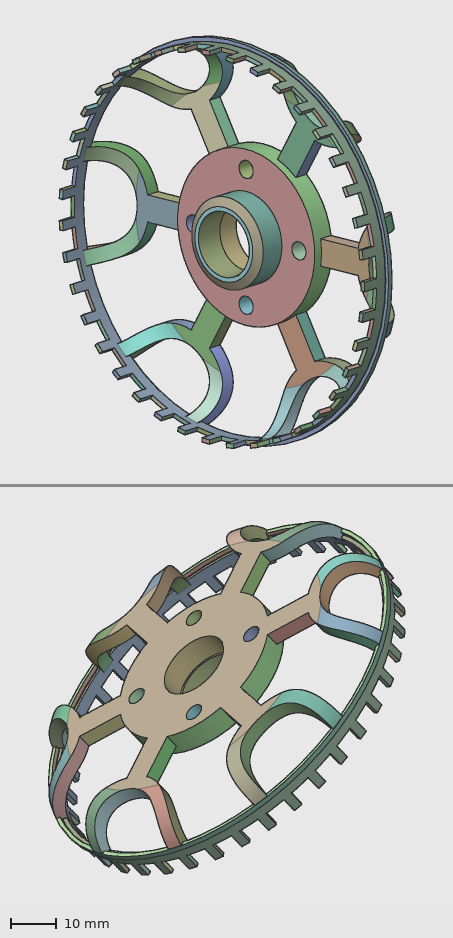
import cadquery as cq
import math


FLANGE_DIAMETER = 91.75
DRUM_OUTER_DIAMETER = 89.8
DRUM_INNER_DIAMETER = 87.8
FLANGE_BACK_DEPTH = 9.0
FLANGE_THICKNESS = 1.2
DRUM_FRONT_DEPTH = 13.0
BACK_RECESS_DIAMETER = DRUM_OUTER_DIAMETER
BACK_RECESS_DEPTH = 1.0
OVERALL_DEPTH = 17.0
TOOTH_COUNT = 39
TOOTH_WIDTH = 2.2

HUB_DIAMETER = 40.3
HUB_THICKNESS = 5.7
BOSS_DIAMETER = 21.0
BOSS_CHAMFER_WIDTH = 2.0
BOSS_CHAMFER_DEPTH = 1.2
BORE_DIAMETER = 15.0
BEARING_DIAMETER = 16.0
BEARING_DEPTH = 6.0
BOLT_HOLE_DIAMETER = 4.1
BOLT_CIRCLE_DIAMETER = 31.0
BOLT_COUNT = 4

ARM_COUNT = 6
ARM_THICKNESS = 3.5
SPOKE_WIDTH = 6.2
HORSESHOE_CENTRE_RADIUS = 44.3
HORSESHOE_INNER_RADIUS = 10.3
HORSESHOE_OUTER_RADIUS = HORSESHOE_INNER_RADIUS + ARM_THICKNESS
BEND_START_RADIUS = 34.4
BEND_OUTER_RADIUS = 11.65
BEND_INNER_RADIUS = 9.6


def disc(diameter, back_depth, front_depth):
    """Solid cylinder on the wheel axis between two depths below the back face."""
    plane = cq.Workplane("XZ", origin=(0, -back_depth, 0))
    return plane.circle(diameter / 2).extrude(front_depth - back_depth)


def revolve_about_axis(half_section):
    return half_section.revolve(360, (0, 0, 0), (0, 1, 0))


def around_axis(shape, angle):
    """Copy of a shape turned about the wheel axis, from +X towards +Z."""
    return shape.rotate((0, 0, 0), (0, 1, 0), -angle)


def make_tooth_ring():
    """Bars crossing the drum wall radially, one of them along +X."""
    bar = cq.Workplane("XY").box(
        DRUM_OUTER_DIAMETER,
        OVERALL_DEPTH - DRUM_FRONT_DEPTH,
        TOOTH_WIDTH,
        centered=(False, False, True),
    )
    bar = bar.translate((0, -OVERALL_DEPTH, 0))
    bars = [around_axis(bar, i * 360 / TOOTH_COUNT).val() for i in range(TOOTH_COUNT)]
    return cq.Workplane(obj=bars[0].fuse(*bars[1:]))


def make_rim():
    """Flanged drum ring with teeth left standing between the gaps in its front edge."""
    flange = disc(FLANGE_DIAMETER, FLANGE_BACK_DEPTH, FLANGE_BACK_DEPTH + FLANGE_THICKNESS)
    drum = disc(DRUM_OUTER_DIAMETER, FLANGE_BACK_DEPTH, OVERALL_DEPTH)
    opening = disc(DRUM_INNER_DIAMETER, FLANGE_BACK_DEPTH, OVERALL_DEPTH)
    tooth_gaps = disc(FLANGE_DIAMETER, DRUM_FRONT_DEPTH, OVERALL_DEPTH).cut(make_tooth_ring())
    back_recess = disc(BACK_RECESS_DIAMETER, FLANGE_BACK_DEPTH, FLANGE_BACK_DEPTH + BACK_RECESS_DEPTH)
    return flange.union(drum).cut(opening).cut(back_recess).cut(tooth_gaps)


def make_hub():
    """Solid hub disc and boss, before boring."""
    boss_radius = BOSS_DIAMETER / 2
    half_section = (
        cq.Workplane("XY")
        .lineTo(HUB_DIAMETER / 2, 0)
        .lineTo(HUB_DIAMETER / 2, -HUB_THICKNESS)
        .lineTo(boss_radius, -HUB_THICKNESS)
        .lineTo(boss_radius, -(DRUM_FRONT_DEPTH - BOSS_CHAMFER_DEPTH))
        .lineTo(boss_radius - BOSS_CHAMFER_WIDTH, -DRUM_FRONT_DEPTH)
        .lineTo(0, -DRUM_FRONT_DEPTH)
        .close()
    )
    return revolve_about_axis(half_section)


def make_arm_shell():
    """Bowl of revolution: a flat web whose edge bends down onto the flange and the drum wall."""
    wall_inner_radius = DRUM_INNER_DIAMETER / 2
    wall_middle_radius = (DRUM_INNER_DIAMETER + DRUM_OUTER_DIAMETER) / 4
    flange_front_depth = FLANGE_BACK_DEPTH + FLANGE_THICKNESS

    def bend_point(start_depth, radius, angle):
        across = BEND_START_RADIUS + radius * math.cos(angle)
        depth = start_depth + radius * (1 - math.sin(angle))
        return (across, -depth)

    outer_angle = math.asin(1 - FLANGE_BACK_DEPTH / BEND_OUTER_RADIUS)
    inner_angle = math.acos((wall_inner_radius - BEND_START_RADIUS) / BEND_INNER_RADIUS)
    outer_middle = bend_point(0, BEND_OUTER_RADIUS, (outer_angle + math.pi / 2) / 2)
    outer_end = bend_point(0, BEND_OUTER_RADIUS, outer_angle)
    inner_middle = bend_point(ARM_THICKNESS, BEND_INNER_RADIUS, (inner_angle + math.pi / 2) / 2)
    inner_end = bend_point(ARM_THICKNESS, BEND_INNER_RADIUS, inner_angle)

    half_section = (
        cq.Workplane("XY")
        .lineTo(BEND_START_RADIUS, 0)
        .threePointArc(outer_middle, outer_end)
        .lineTo(wall_middle_radius, -flange_front_depth)
        .lineTo(wall_middle_radius, inner_end[1])
        .lineTo(*inner_end)
        .threePointArc(inner_middle, (BEND_START_RADIUS, -ARM_THICKNESS))
        .lineTo(0, -ARM_THICKNESS)
        .close()
    )
    return revolve_about_axis(half_section)


def make_arm_outline():
    """Plan shape of one arm along +X, extruded through the depth of the shell."""
    fork = (
        cq.Workplane("XZ", origin=(HORSESHOE_CENTRE_RADIUS, 0, 0))
        .circle(HORSESHOE_OUTER_RADIUS)
        .circle(HORSESHOE_INNER_RADIUS)
        .extrude(DRUM_FRONT_DEPTH)
    )
    spoke_end = HORSESHOE_CENTRE_RADIUS - HORSESHOE_INNER_RADIUS - ARM_THICKNESS / 2
    spoke = cq.Workplane("XY").box(
        spoke_end, ARM_THICKNESS, SPOKE_WIDTH, centered=(False, False, True)
    )
    return fork.union(spoke.translate((0, -ARM_THICKNESS, 0)))


def make_arms():
    """All forked arms, cut from the shell by the plan outline."""
    arm = make_arm_shell().intersect(make_arm_outline())
    copies = [around_axis(arm, i * 360 / ARM_COUNT).val() for i in range(ARM_COUNT)]
    return cq.Workplane(obj=copies[0].fuse(*copies[1:]))


def cut_bores(body):
    """Stepped centre bore, wider at the back, and the ring of bolt holes."""
    body = body.cut(disc(BORE_DIAMETER, 0, DRUM_FRONT_DEPTH))
    body = body.cut(disc(BEARING_DIAMETER, 0, BEARING_DEPTH))
    bolt_hole = disc(BOLT_HOLE_DIAMETER, 0, HUB_THICKNESS).translate((BOLT_CIRCLE_DIAMETER / 2, 0, 0))
    for i in range(BOLT_COUNT):
        body = body.cut(around_axis(bolt_hole, i * 360 / BOLT_COUNT))
    return body


result = cut_bores(make_hub().union(make_arms()).union(make_rim()))